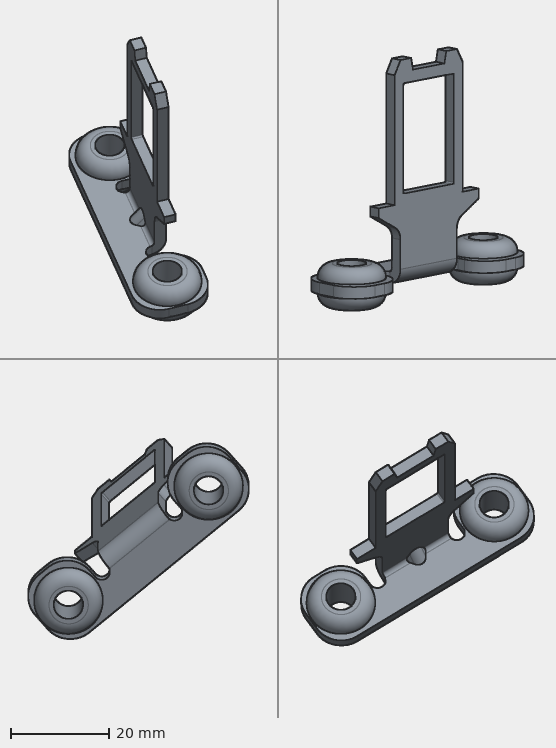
import cadquery as cq
import math

overall_length = 52.05
turn_angle = 0.55

sheet = 2.5
plate_width = 16.05
corner_radius = 6.0

bend_inner_radius = 1.0
bend_outer_radius = bend_inner_radius + sheet
tab_front_y = 0.8
tab_top_z = 47.0
stem_half = 8.05
ear_half = 14.3
ear_bottom_z = 15.0
ear_height = 2.05
ear_slope_angle = 30.0
ear_fillet = 3.0
frame_half = 9.75
tip_half = 8.05
tip_drop = 2.9

notch_top_half = 5.0
notch_bottom_half = 4.5
notch_depth = 2.5

window_width = 14.4
window_bottom_z = 19.05
window_height = 22.95
window_corner = 0.3

slot_width = 3.35
slot_bottom_y = -1.5

rib_reach = 2.55
rib_crown_radius = 2.05
rib_flank_angle = 45.0
rib_end_overlap = 1.05

grommet_pitch = 37.55
grommet_diameter = 14.05
grommet_bore = 6.0
neck_diameter = 9.0
flange_height = 3.0
flange_gap = 0.25

cos_45 = math.cos(math.radians(45))

turn = math.radians(turn_angle)
corner_centre_y = plate_width / 2 - corner_radius
corner_centre_x = (overall_length / 2 - corner_radius - corner_centre_y * math.sin(turn)) / math.cos(turn)
plate_half = corner_centre_x + corner_radius
bend_start_y = tab_front_y - bend_inner_radius
bend_end_z = bend_outer_radius
grommet_height = sheet + 2 * (flange_gap + flange_height)


def make_plate():
    """Rounded base plate, open at the back between the two grommet lobes."""
    slot_radius = slot_width / 2
    slot_centre_x = stem_half + slot_radius
    lobe_inner_x = stem_half + slot_width
    slot_centre_y = slot_bottom_y + slot_radius
    diagonal = corner_radius * cos_45
    lobe_centre_x = lobe_inner_x + corner_radius

    half = (
        cq.Workplane("XY")
        .moveTo(0, -plate_width / 2)
        .lineTo(corner_centre_x, -plate_width / 2)
        .threePointArc(
            (corner_centre_x + diagonal, -corner_centre_y - diagonal),
            (plate_half, -corner_centre_y),
        )
        .lineTo(plate_half, corner_centre_y)
        .threePointArc(
            (corner_centre_x + diagonal, corner_centre_y + diagonal),
            (corner_centre_x, plate_width / 2),
        )
        .lineTo(lobe_centre_x, plate_width / 2)
        .threePointArc(
            (lobe_centre_x - diagonal, corner_centre_y + diagonal),
            (lobe_inner_x, corner_centre_y),
        )
        .lineTo(lobe_inner_x, slot_centre_y)
        .threePointArc((slot_centre_x, slot_bottom_y), (stem_half, slot_centre_y))
        .lineTo(stem_half, bend_start_y)
        .lineTo(0, bend_start_y)
        .close()
        .extrude(sheet)
    )
    return half.union(half.mirror("YZ"))


def make_bend():
    """Quarter-round bend joining the plate to the tab."""
    inner_mid = bend_inner_radius * cos_45
    outer_mid = bend_outer_radius * cos_45
    return (
        cq.Workplane("YZ", origin=(-stem_half, 0, 0))
        .moveTo(bend_start_y, 0)
        .threePointArc(
            (bend_start_y + outer_mid, bend_end_z - outer_mid),
            (bend_start_y + bend_outer_radius, bend_end_z),
        )
        .lineTo(tab_front_y, bend_end_z)
        .threePointArc(
            (bend_start_y + inner_mid, bend_end_z - inner_mid),
            (bend_start_y, sheet),
        )
        .close()
        .extrude(2 * stem_half)
    )


def make_tab():
    """Flat upright tab with ears, window, sloped tips and top notch."""
    ear_top_z = ear_bottom_z + ear_height
    ear_root_z = ear_bottom_z - (ear_half - stem_half) * math.tan(math.radians(ear_slope_angle))
    right_side = [
        (stem_half, bend_end_z),
        (stem_half, ear_root_z),
        (ear_half, ear_bottom_z),
        (ear_half, ear_top_z),
        (frame_half, ear_top_z),
        (frame_half, tab_top_z - tip_drop),
        (tip_half, tab_top_z),
        (notch_top_half, tab_top_z),
        (notch_bottom_half, tab_top_z - notch_depth),
    ]
    left_side = [(-x, z) for x, z in reversed(right_side)]
    tab_plane = cq.Workplane("XZ", origin=(0, tab_front_y, 0))

    tab = tab_plane.polyline(right_side + left_side).close().extrude(-sheet)
    for side in (-1, 1):
        root = cq.NearestToPointSelector((side * stem_half, tab_front_y + sheet / 2, ear_root_z))
        tab = tab.edges("|Y").edges(root).fillet(ear_fillet)

    window = (
        tab_plane.center(0, window_bottom_z + window_height / 2)
        .rect(window_width, window_height)
        .extrude(-sheet)
        .edges("|Y")
        .fillet(window_corner)
    )
    return tab.cut(window)


def make_rib():
    """Diagonal rib with a round crown and sloping flanks, set in the inside of the bend."""
    flank = math.radians(rib_flank_angle)
    ridge_height = rib_reach * cos_45
    ridge_length = rib_reach / cos_45
    crown_half = rib_crown_radius * math.sin(flank)
    flank_top = ridge_height - rib_crown_radius * (1 - math.cos(flank))
    base_half = crown_half + flank_top / math.tan(flank)
    section = cq.Plane(origin=(0, tab_front_y, sheet), xDir=(1, 0, 0), normal=(0, -1, -1))
    return (
        cq.Workplane(section)
        .moveTo(-base_half, 0)
        .lineTo(-crown_half, flank_top)
        .threePointArc((0, ridge_height), (crown_half, flank_top))
        .lineTo(base_half, 0)
        .close()
        .extrude(ridge_length / 2 + rib_end_overlap, both=True)
    )


def make_grommet(centre_x):
    """Grommet before boring: two rounded flanges on a neck through the plate."""
    outer = grommet_diameter / 2
    crown = outer - flange_height
    neck = neck_diameter / 2
    arc_mid = crown + flange_height * cos_45
    middle_z = sheet / 2
    rim = middle_z + flange_gap
    top = grommet_height / 2
    arc_mid_z = rim + flange_height * cos_45
    upper_half = (
        cq.Workplane("XZ")
        .moveTo(0, 0)
        .lineTo(neck, 0)
        .lineTo(neck, rim)
        .lineTo(outer, rim)
        .threePointArc((arc_mid, arc_mid_z), (crown, top))
        .lineTo(0, top)
        .close()
        .revolve(360, (0, 0, 0), (0, 1, 0))
    )
    grommet = upper_half.union(upper_half.mirror("XY"))
    return grommet.translate((centre_x, 0, middle_z))


part = make_plate().union(make_bend()).union(make_tab()).union(make_rib())
for side in (-1, 1):
    grommet_x = side * grommet_pitch / 2
    bore = cq.Workplane("XY").center(grommet_x, 0).circle(grommet_bore / 2)
    bore = bore.extrude(grommet_height, both=True)
    part = part.union(make_grommet(grommet_x)).cut(bore)

result = part.rotate((0, 0, 0), (0, 0, 1), turn_angle)